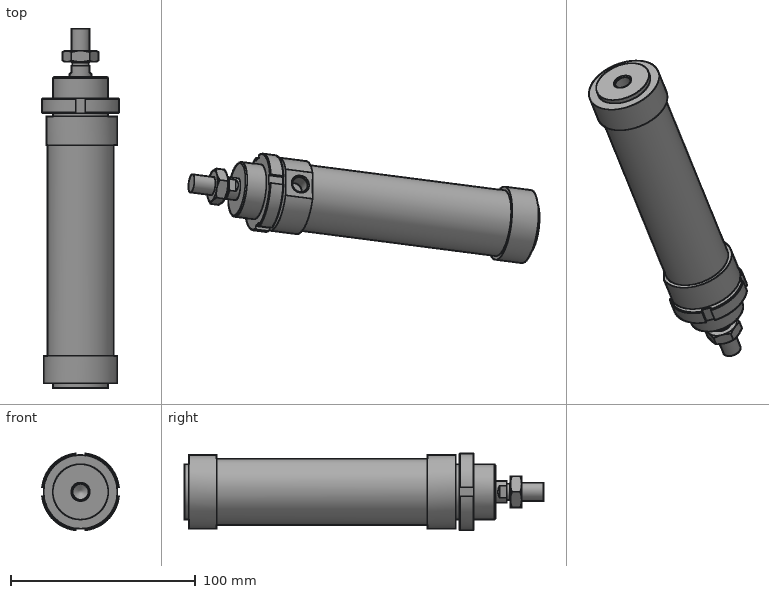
import cadquery as cq
import math


rear_boss_length = 2.5
rear_cap_length = 15.0
tube_length = 114.0
head_length = 15.5
neck_length = 21.5

rear_cap_start = rear_boss_length
tube_start = rear_cap_start + rear_cap_length
head_start = tube_start + tube_length
neck_start = head_start + head_length
neck_end = neck_start + neck_length

boss_diameter = 30.0
cap_diameter = 40.0
tube_diameter = 36.0
neck_diameter = 30.0
neck_chamfer = 0.75

rear_hole_diameter = 8.6
rear_hole_mouth_diameter = 10.0
rear_hole_chamfer = (rear_hole_mouth_diameter - rear_hole_diameter) / 2
rear_hole_depth = 12.0
drill_point_angle = 118.0

port_flat_distance = 18.5
port_diameter = 8.6
port_mouth_diameter = 10.0
port_chamfer = (port_mouth_diameter - port_diameter) / 2
port_depth = 10.0
port_position = head_start + 7.0

rod_diameter = 12.0
rod_length = 6.0
wrench_flat_width = 10.0
wrench_flat_length = 3.8
undercut_diameter = 9.0
undercut_length = 2.0
thread_diameter = 10.0
thread_length = 18.0
thread_end_chamfer = (thread_diameter - undercut_diameter) / 2

rod_shoulder = neck_end + rod_length
thread_start = rod_shoulder + undercut_length
rod_end = thread_start + thread_length

hex_nut_width = 17.0
hex_nut_thickness = 6.0
hex_nut_start = thread_start
hex_nut_chamfer_angle = 30.0
hex_nut_corner_diameter = hex_nut_width / math.cos(math.radians(30))

ring_nut_diameter = 42.0
ring_nut_thickness = 8.0
ring_nut_chamfer = 0.5
ring_nut_gap = 1.75
ring_nut_start = neck_start + ring_nut_gap
slot_width = 5.0
slot_depth = 2.0
slot_count = 4


def disc(diameter, start, length):
    """Cylinder on the Y axis, from Y = start toward +Y."""
    plane = cq.Plane(origin=(0, start, 0), xDir=(1, 0, 0), normal=(0, 1, 0))
    return cq.Workplane(plane).circle(diameter / 2).extrude(length)


def revolve_profile(points):
    """Solid of revolution about the Y axis from (radius, Y) points."""
    return cq.Workplane("XY").polyline(points).close().revolve(360, (0, 0), (0, 1))


def rear_hole():
    """Blind axial hole with a chamfered mouth and a conical drill point."""
    radius = rear_hole_diameter / 2
    point_length = radius / math.tan(math.radians(drill_point_angle / 2))
    return revolve_profile([
        (0, 0),
        (rear_hole_mouth_diameter / 2, 0),
        (radius, rear_hole_chamfer),
        (radius, rear_hole_depth),
        (0, rear_hole_depth + point_length),
    ])


def port_flat():
    """Block that cuts the flat on the -X side of the head."""
    flat_depth = cap_diameter / 2 - port_flat_distance
    return cq.Workplane("XY").box(
        flat_depth, head_length, cap_diameter, centered=(False, False, True)
    ).translate((-cap_diameter / 2, head_start, 0))


def port_hole():
    """Blind port with a chamfered mouth, drilled square to its flat."""
    plane = cq.Plane(
        origin=(-port_flat_distance, port_position, 0), xDir=(0, 1, 0), normal=(1, 0, 0)
    )
    bore = cq.Workplane(plane).circle(port_diameter / 2).extrude(port_depth)
    mouth = (
        cq.Workplane(plane).circle(port_mouth_diameter / 2)
        .workplane(offset=port_chamfer).circle(port_diameter / 2).loft()
    )
    return bore.union(mouth)


def make_cylinder_body():
    """Rear cap, tube, head and threaded neck in one solid."""
    neck = disc(neck_diameter, neck_start, neck_length).faces(">Y").chamfer(neck_chamfer)
    head = disc(cap_diameter, head_start, head_length).cut(port_flat()).cut(port_hole())
    tube = disc(tube_diameter, tube_start, tube_length)
    rear_cap = disc(cap_diameter, rear_cap_start, rear_cap_length)
    rear_boss = disc(boss_diameter, 0, rear_boss_length)
    body = rear_boss.union(rear_cap).union(tube).union(head).union(neck)
    return body.cut(rear_hole())


def wrench_flat_cutter():
    """Block cut from the +X side of the rod, with a 45 degree run-out at its inner end."""
    inner = wrench_flat_width / 2
    outer = rod_diameter / 2
    flat_end = rod_shoulder - wrench_flat_length
    return (
        cq.Workplane("XY")
        .polyline([
            (inner, rod_shoulder),
            (outer, rod_shoulder),
            (outer, flat_end - (outer - inner)),
            (inner, flat_end),
        ])
        .close()
        .extrude(rod_diameter / 2, both=True)
    )


def make_piston_rod():
    """Rod stub with two wrench flats, an undercut and the threaded end."""
    thread_radius = thread_diameter / 2
    undercut_radius = undercut_diameter / 2
    rod = revolve_profile([
        (0, neck_end),
        (rod_diameter / 2, neck_end),
        (rod_diameter / 2, rod_shoulder),
        (undercut_radius, rod_shoulder),
        (undercut_radius, thread_start - thread_end_chamfer),
        (thread_radius, thread_start),
        (thread_radius, rod_end),
        (0, rod_end),
    ])
    cutter = wrench_flat_cutter()
    return rod.cut(cutter).cut(cutter.mirror("YZ"))


def make_hex_nut():
    """Hexagonal nut with corners on the X axis and both ends chamfered."""
    plane = cq.Plane(origin=(0, hex_nut_start, 0), xDir=(1, 0, 0), normal=(0, 1, 0))
    hexagon = cq.Workplane(plane).polygon(6, hex_nut_corner_diameter).extrude(hex_nut_thickness)
    flat_radius = hex_nut_width / 2
    corner_radius = hex_nut_corner_diameter / 2
    drop = (corner_radius - flat_radius) * math.tan(math.radians(hex_nut_chamfer_angle))
    hex_nut_end = hex_nut_start + hex_nut_thickness
    envelope = revolve_profile([
        (0, hex_nut_start),
        (flat_radius, hex_nut_start),
        (corner_radius, hex_nut_start + drop),
        (corner_radius, hex_nut_end - drop),
        (flat_radius, hex_nut_end),
        (0, hex_nut_end),
    ])
    bore = disc(thread_diameter, hex_nut_start, hex_nut_thickness)
    return hexagon.intersect(envelope).cut(bore)


def make_ring_nut():
    """Round nut with chamfered rims and spanner slots on the X and Z axes."""
    nut = disc(ring_nut_diameter, ring_nut_start, ring_nut_thickness)
    nut = nut.edges().chamfer(ring_nut_chamfer)
    nut = nut.cut(disc(neck_diameter, ring_nut_start, ring_nut_thickness))
    slot = cq.Workplane("XY").box(
        slot_depth, ring_nut_thickness, slot_width, centered=(False, False, True)
    ).translate((ring_nut_diameter / 2 - slot_depth, ring_nut_start, 0))
    for index in range(slot_count):
        nut = nut.cut(slot.rotate((0, 0, 0), (0, 1, 0), index * 360 / slot_count))
    return nut


cylinder_body = make_cylinder_body()
piston_rod = make_piston_rod()
hex_nut = make_hex_nut()
ring_nut = make_ring_nut()

result = cq.Compound.makeCompound([
    cylinder_body.val(),
    piston_rod.val(),
    hex_nut.val(),
    ring_nut.val(),
])